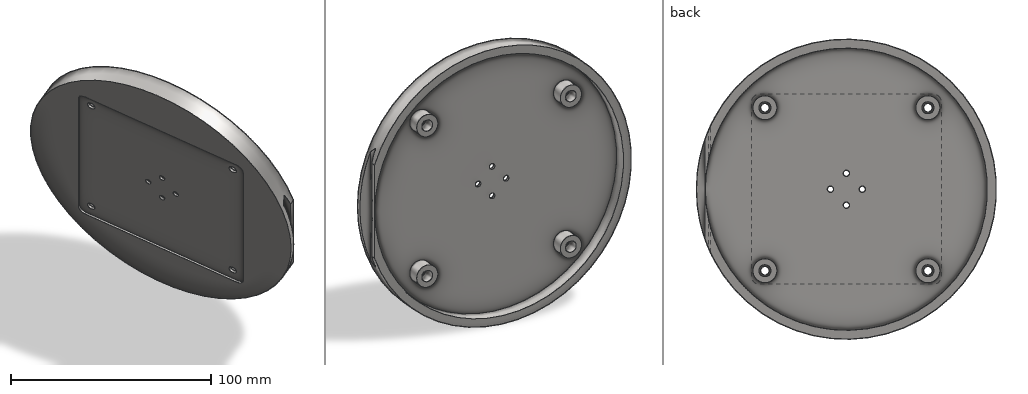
import cadquery as cq

disc_diameter = 150.0
thickness = 10.0
disc_radius = disc_diameter / 2

plate_thickness = 2.7
rim_wall = 4.5
post_diameter = 12.0

recess_side = 95.0
recess_corner_radius = 4.0
recess_depth = 1.2

corner_hole_diameter = 4.2
corner_counterbore_diameter = 6.0
corner_hole_pitch = 81.5
center_hole_diameter = 3.0
center_hole_circle_radius = 8.0

notch_floor_x = 69.0
notch_tip_x = 67.8
notch_tip_y = 5.7
back_edge_x = 70.6
back_edge_start_y = 7.2


def front_plane():
    """Sketch plane on the front face, extruding towards the back (+Y)."""
    return cq.Workplane(cq.Plane(origin=(0, 0, 0), xDir=(1, 0, 0), normal=(0, 1, 0)))


def make_recess():
    block = front_plane().rect(recess_side, recess_side).extrude(recess_depth)
    return block.edges("|Y").fillet(recess_corner_radius)


def make_cylinders(points, diameter, start_y=0):
    """Cylinders from the given depth out through the back face."""
    start_plane = front_plane().workplane(offset=start_y)
    return start_plane.pushPoints(points).circle(diameter / 2).extrude(thickness - start_y)


def make_rim_opening():
    """Opening through the rim wall on the +X side, down to the front plate."""
    profile = [
        (disc_radius, plate_thickness),
        (notch_floor_x, plate_thickness),
        (notch_tip_x, notch_tip_y),
        (back_edge_x, back_edge_start_y),
        (back_edge_x, thickness),
        (disc_radius, thickness),
    ]
    return cq.Workplane("XY").polyline(profile).close().extrude(disc_radius, both=True)


half_pitch = corner_hole_pitch / 2
corner_points = [(x, z) for x in (-half_pitch, half_pitch) for z in (-half_pitch, half_pitch)]
center_points = [
    (center_hole_circle_radius, 0),
    (0, center_hole_circle_radius),
    (-center_hole_circle_radius, 0),
    (0, -center_hole_circle_radius),
]

disc = front_plane().circle(disc_radius).extrude(thickness)
cavity = make_cylinders([(0, 0)], disc_diameter - 2 * rim_wall, plate_thickness)
posts = make_cylinders(corner_points, post_diameter, plate_thickness)
result = (
    disc.cut(cavity)
    .union(posts)
    .cut(make_recess())
    .cut(make_cylinders(corner_points, corner_hole_diameter))
    .cut(make_cylinders(corner_points, corner_counterbore_diameter, plate_thickness))
    .cut(make_cylinders(center_points, center_hole_diameter))
    .cut(make_rim_opening())
)